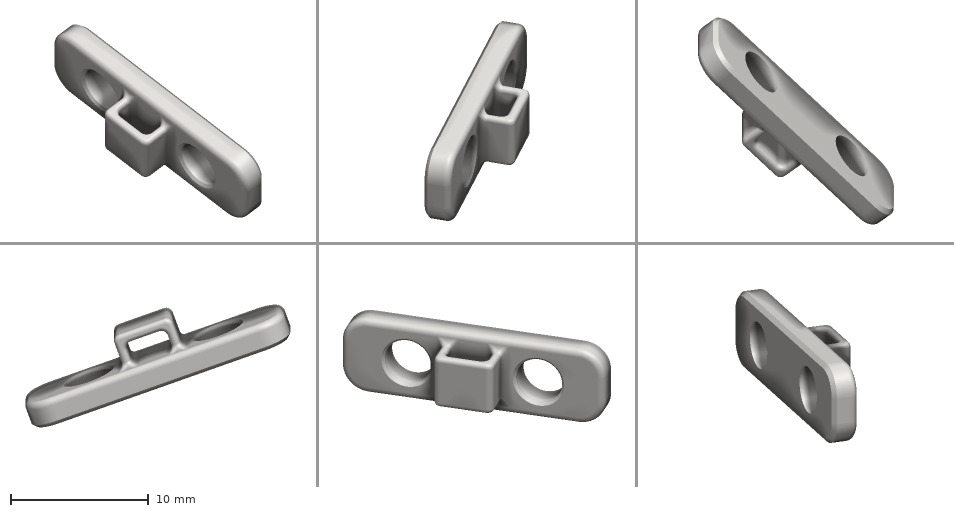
import cadquery as cq

plate_length = 20.0
plate_thickness = 2.0
plate_height = 6.0
plate_corner_radius = 2.0
plate_front_fillet = 0.5
plate_back_chamfer = 0.3

hole_diameter = 3.5
hole_spacing = 10.0
hole_chamfer = 0.2

loop_width = 4.5
loop_height = 4.0
loop_reach = 2.5
loop_raise = 0.075
loop_side_wall = 0.66
loop_front_wall = 0.75
loop_corner_radius = 0.5
loop_rim_fillet = 0.325
loop_foot_fillet = 0.5

opening_width = loop_width - 2 * loop_side_wall
opening_reach = loop_reach - loop_front_wall
loop_top = loop_raise + loop_height / 2
loop_bottom = loop_raise - loop_height / 2

pick_margin = 0.01


def edges_within(body, low, high):
    """Edges whose centre lies in the box between two corners, or within the margin around it."""
    low_corner = tuple(value - pick_margin for value in low)
    high_corner = tuple(value + pick_margin for value in high)
    return body.edges(cq.selectors.BoxSelector(low_corner, high_corner))


def make_plate():
    """Rounded plate, front face on Y = 0, back edge chamfered, front edge still sharp."""
    return (
        cq.Workplane("XY")
        .box(plate_length, plate_thickness, plate_height)
        .translate((0, plate_thickness / 2, 0))
        .edges("|Y")
        .fillet(plate_corner_radius)
        .faces(">Y")
        .chamfer(plate_back_chamfer)
    )


def make_loop_blank():
    """U-shaped wall, open along Z, whose two feet end on Y = 0."""
    outside = cq.Workplane("XY").box(loop_width, loop_reach, loop_height)
    opening = cq.Workplane("XY").box(opening_width, opening_reach, loop_height)
    return (
        outside.translate((0, -loop_reach / 2, loop_raise))
        .cut(opening.translate((0, -opening_reach / 2, loop_raise)))
        .edges("|Z and (not >Y)")
        .fillet(loop_corner_radius)
    )


def flare_feet(body):
    """Fillet the inside corners where the loop meets the plate."""
    half_width = loop_width / 2
    feet = edges_within(body, (-half_width, 0, loop_bottom), (half_width, 0, loop_top))
    return feet.fillet(loop_foot_fillet)


def round_rims(body):
    """Fillet the loop's top and bottom edges; the rounding runs on into the foot flares."""
    half_width = loop_width / 2
    rims = []
    for level in (loop_bottom, loop_top):
        low = (-half_width, -loop_reach, level)
        high = (half_width, -loop_foot_fillet, level)
        rims += edges_within(body, low, high).vals()
    return body.newObject(rims).fillet(loop_rim_fillet)


def round_plate_front(body):
    """Fillet the plate's front edge, blending into the upper foot flares; one edge starts the chain."""
    half_length = plate_length / 2
    top = plate_height / 2
    top_edge = edges_within(body, (-half_length, 0, top), (half_length, 0, top))
    return top_edge.fillet(plate_front_fillet)


def make_holes():
    """Through-hole cutters, each with a bevelled mouth on the front face."""
    mouth_diameter = hole_diameter + 2 * hole_chamfer
    front = cq.Workplane("XZ").pushPoints([(-hole_spacing / 2, 0), (hole_spacing / 2, 0)])
    bores = front.circle(hole_diameter / 2).extrude(-plate_thickness)
    mouths = front.circle(mouth_diameter / 2).extrude(-hole_chamfer, taper=45)
    return bores.union(mouths)


body = make_plate().union(make_loop_blank())
body = flare_feet(body)
body = round_rims(body)
body = round_plate_front(body)
result = body.cut(make_holes())